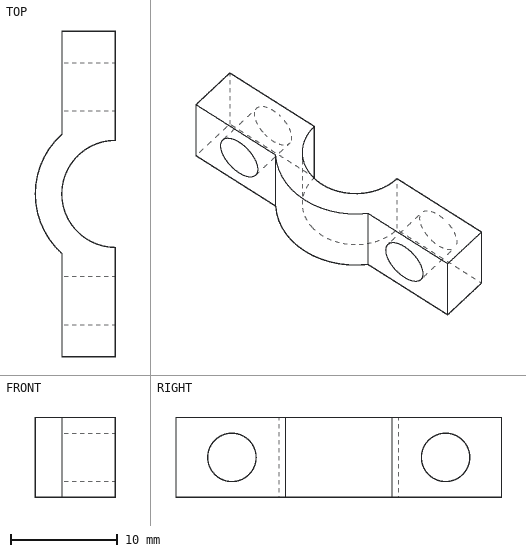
import cadquery as cq

length = 30.5
height = 7.5
outer_radius = 7.5
bore_radius = 5.0
flange_thickness = 5.0
screw_hole_diameter = 4.5
screw_hole_spacing = 20.0



def flange_bar():
    """Straight bar that forms both flanges."""
    return cq.Workplane("XY").box(
        flange_thickness, length, height, centered=(False, True, True)
    ).translate((-flange_thickness, 0, 0))


def saddle():
    """Half cylinder on the -X side of the mating face."""
    return (
        cq.Workplane("XY")
        .workplane(offset=-height / 2)
        .moveTo(0, outer_radius)
        .threePointArc((-outer_radius, 0), (0, -outer_radius))
        .close()
        .extrude(height)
    )


def bore():
    """Cylinder removed along Z to receive the clamped rod."""
    return cq.Workplane("XY").circle(bore_radius).extrude(height, both=True)


def screw_holes():
    """Pair of cylinders removed along X, one through each flange."""
    return (
        cq.Workplane("YZ")
        .pushPoints([(side * screw_hole_spacing / 2, 0) for side in (-1, 1)])
        .circle(screw_hole_diameter / 2)
        .extrude(-flange_thickness)
    )


result = flange_bar().union(saddle()).cut(bore()).cut(screw_holes())